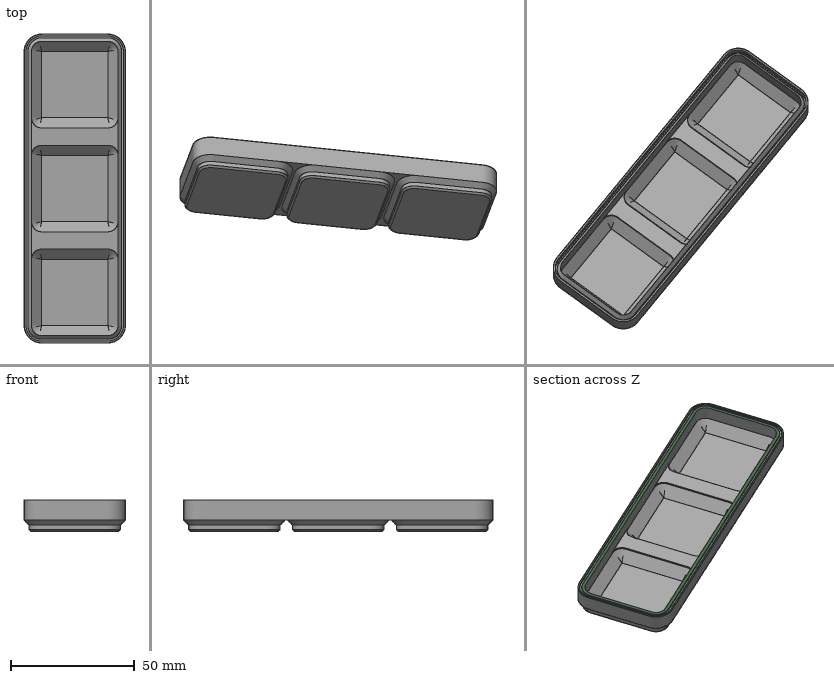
import cadquery as cq

cell_count = 3
cell_pitch = 42.0
cell_size = 41.0
corner_radius = 7.2
total_height = 12.8

foot_height = 4.5
neck_inset = 2.0
sole_chamfer = 0.8
neck_top = foot_height - neck_inset

wall_thickness = 3.0
cavity_floor = 5.6
cavity_radius = 4.1
pocket_slope_top = 5.0
pocket_floor = pocket_slope_top - cavity_radius

lip_width = 0.81
groove_bottom_width = 0.8
groove_depth = 2.5
groove_slope_height = 1.8

outer_core = cell_size - 2 * corner_radius
inner_core = cell_size - 2 * (wall_thickness + cavity_radius)
cell_span = (cell_count - 1) * cell_pitch


def rounded_block(core_x, core_y, profile):
    """Solid whose (radius, z) profile runs around a core rectangle, with turned corners.

    The profile lists the side from bottom to top; its radius is measured from the core.
    """
    z_bottom = profile[0][1]
    z_top = profile[-1][1]
    block = cq.Workplane("XY", origin=(0, 0, z_bottom)).box(
        core_x, core_y, z_top - z_bottom, centered=(True, True, False)
    )
    for plane, across, along in (("XZ", core_x, core_y), ("YZ", core_y, core_x)):
        right_side = [(across / 2 + radius, z) for radius, z in profile]
        left_side = [(-u, z) for u, z in reversed(right_side)]
        slab = cq.Workplane(plane).polyline(right_side + left_side).close()
        block = block.union(slab.extrude(along / 2, both=True))
    on_axis = [(0, z_top), (0, z_bottom)]
    half_section = [point for point in profile if point not in on_axis]
    corner = cq.Workplane("XZ").polyline(half_section + on_axis).close()
    corner = corner.revolve(90, (0, 0, 0), (0, 1, 0))
    quarter_turns = [(1, 1), (-1, 1), (-1, -1), (1, -1)]
    for turn, (x_side, y_side) in enumerate(quarter_turns):
        placed = corner.rotate((0, 0, 0), (0, 0, 1), 90 * turn)
        block = block.union(placed.translate((x_side * core_x / 2, y_side * core_y / 2, 0)))
    return block.clean()


def at_cells(shape):
    """Copy a shape to the centre of every cell along Y."""
    copies = cq.Workplane("XY")
    for i in range(cell_count):
        copies = copies.add(shape.translate((0, i * cell_pitch - cell_span / 2, 0)))
    return copies.combine()


def upright_block(core, radius, z_bottom, z_top):
    """Full-length block with upright sides."""
    return rounded_block(core, core + cell_span, [(radius, z_bottom), (radius, z_top)])


def make_body():
    return upright_block(outer_core, corner_radius, foot_height, total_height)


def make_foot():
    neck_radius = corner_radius - neck_inset
    profile = [
        (neck_radius - sole_chamfer, 0),
        (neck_radius, sole_chamfer),
        (neck_radius, neck_top),
        (corner_radius, foot_height),
    ]
    return rounded_block(outer_core, outer_core, profile)


def make_cavity():
    return upright_block(inner_core, cavity_radius, cavity_floor, total_height)


def make_pocket():
    """Pocket with 45 degree sides that taper down to the sharp-cornered inner core."""
    profile = [(0, pocket_floor), (cavity_radius, pocket_slope_top), (cavity_radius, cavity_floor)]
    return rounded_block(inner_core, inner_core, profile)


def make_groove():
    """Ring open at the top; its inner side rises upright, then slopes up to the cavity edge."""
    bottom = total_height - groove_depth
    outer_radius = cavity_radius + wall_thickness - lip_width
    ridge_radius = outer_radius - groove_bottom_width
    ring = upright_block(inner_core, outer_radius, bottom, total_height)
    slope_bottom = total_height - groove_slope_height
    ridge_profile = [
        (ridge_radius, bottom),
        (ridge_radius, slope_bottom),
        (cavity_radius, total_height),
    ]
    ridge = rounded_block(inner_core, inner_core + cell_span, ridge_profile)
    return ring.cut(ridge)


result = make_body().union(at_cells(make_foot()))
result = result.cut(make_cavity()).cut(at_cells(make_pocket())).cut(make_groove())